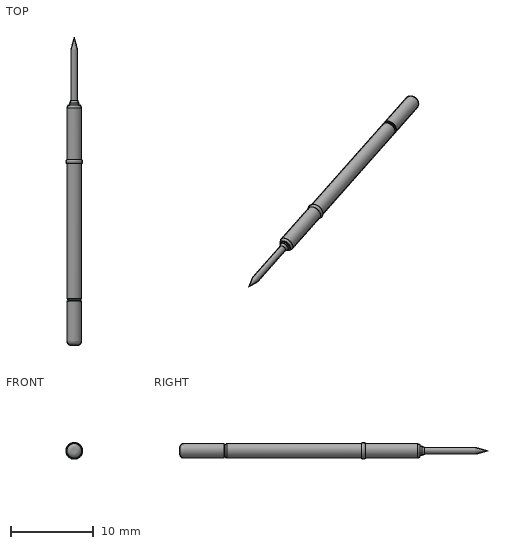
import cadquery as cq

overall_length = 37.3
tail_y = -overall_length / 2
tip_y = overall_length / 2

barrel_radius = 0.9
barrel_length = 28.75
tail_round = 0.52
nose_radius = 0.75
nose_length = 0.35

groove_start = 5.37
groove_width = 0.35
groove_floor_width = 0.1
groove_depth = 0.15

ring_outer_radius = 1.0
ring_start = 22.0
ring_width = 0.5

collar_radius = 0.55
collar_length = 0.22
neck_length = 0.35

plunger_radius = 0.4
cone_length = 1.5

barrel_front_y = tail_y + barrel_length
nose_front_y = barrel_front_y + nose_length
collar_front_y = nose_front_y + collar_length
neck_front_y = collar_front_y + neck_length
cone_base_y = tip_y - cone_length


def start_profile(y, radius):
    """Begin a half-profile in the YZ plane, drawn as (y, radius) points."""
    return cq.Workplane("YZ").moveTo(y, radius)


def revolve_about_axis(profile):
    """Close a (y, radius) half-profile and turn it around the Y axis."""
    return profile.close().revolve(360, (0, 0, 0), (1, 0, 0))


def make_body():
    """Barrel, nose, collar, neck, plunger and cone tip as one turned body."""
    return revolve_about_axis(
        start_profile(tail_y, 0)
        .lineTo(tail_y, barrel_radius - tail_round)
        .radiusArc((tail_y + tail_round, barrel_radius), tail_round)
        .lineTo(barrel_front_y, barrel_radius)
        .lineTo(nose_front_y, nose_radius)
        .lineTo(nose_front_y, collar_radius)
        .lineTo(collar_front_y, collar_radius)
        .lineTo(neck_front_y, plunger_radius)
        .lineTo(cone_base_y, plunger_radius)
        .lineTo(tip_y, 0)
    )


def make_ring():
    """Press ring with a rounded crest standing proud of the barrel."""
    ring_y = tail_y + ring_start
    return revolve_about_axis(
        start_profile(ring_y, 0)
        .lineTo(ring_y, barrel_radius)
        .threePointArc((ring_y + ring_width / 2, ring_outer_radius), (ring_y + ring_width, barrel_radius))
        .lineTo(ring_y + ring_width, 0)
    )


def make_groove_cutter():
    """Groove ring with an upright rear wall, a narrow floor and a sloped front wall."""
    groove_y = tail_y + groove_start
    groove_floor_radius = barrel_radius - groove_depth
    return revolve_about_axis(
        start_profile(groove_y, barrel_radius)
        .lineTo(groove_y, groove_floor_radius)
        .lineTo(groove_y + groove_floor_width, groove_floor_radius)
        .lineTo(groove_y + groove_width, barrel_radius)
    )


result = make_body().union(make_ring()).cut(make_groove_cutter())